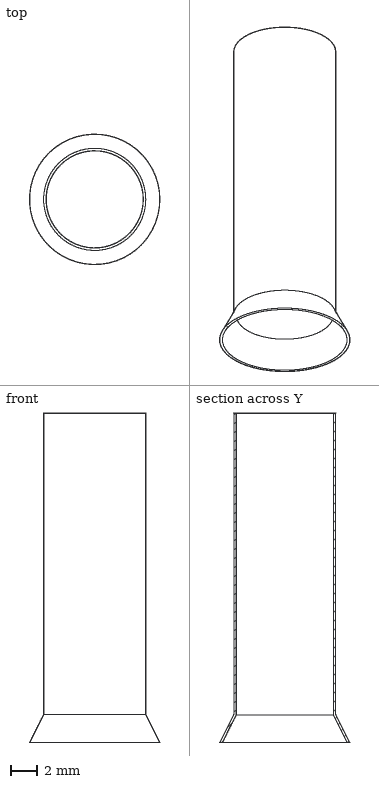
import cadquery as cq
import math

total_height = 25.0
tube_diameter = 7.75
flare_diameter = 9.9
flare_height = 2.15
wall = 0.2

tube_radius = tube_diameter / 2
flare_radius = flare_diameter / 2

flare_angle = math.atan2(flare_radius - tube_radius, flare_height)
radial_wall = wall / math.cos(flare_angle)
inner_bend_height = flare_height - wall * math.tan(flare_angle / 2)

wall_section = (
    cq.Workplane("XZ")
    .moveTo(flare_radius, 0)
    .lineTo(tube_radius, flare_height)
    .lineTo(tube_radius, total_height)
    .lineTo(tube_radius - wall, total_height)
    .lineTo(tube_radius - wall, inner_bend_height)
    .lineTo(flare_radius - radial_wall, 0)
    .close()
)

result = wall_section.revolve(360, (0, 0, 0), (0, 1, 0))